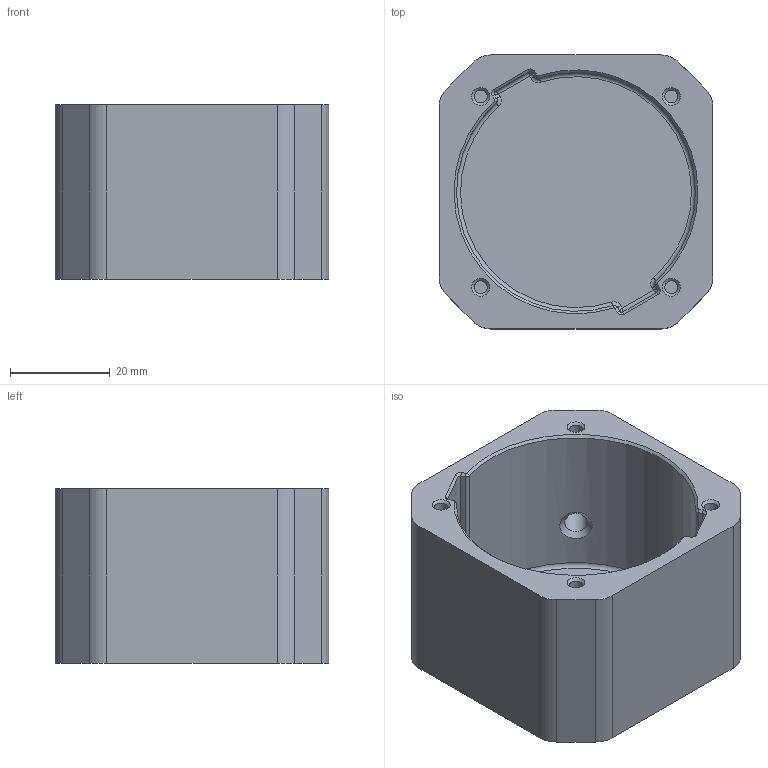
import cadquery as cq
import math

side = 55.0
height = 35.0
corner_flats = 66.0
edge_radius = 5.0

cavity_radius = 24.0
floor_thickness = 3.0
floor_fillet = 0.8
rim_chamfer = 0.5
keyway_angle = 120.0
keyway_reach = 25.6
keyway_width = 8.8
keyway_corner_radius = 0.5
keyway_mouth_radius = 0.8

screw_pitch = 38.3
screw_diameter = 2.6
screw_depth = 10.0
screw_chamfer = 0.5
screw_chamfer_angle = 90.0

cable_diameter = 4.5
cable_height = 13.0
cable_chamfer = 1.0
cable_angle = 45.0


def box_around(x, y, z, half_width, half_height):
    """Selector for edges whose centre lies in a small box around a point."""
    return cq.selectors.BoxSelector(
        (x - half_width, y - half_width, z - half_height),
        (x + half_width, y + half_width, z + half_height),
    )


def turn_about_z(solid, angle):
    return solid.rotate((0, 0, 0), (0, 0, 1), angle)


def make_block():
    """Square block with flattened corners and rounded upright edges."""
    corner_cut = side - corner_flats / math.sqrt(2)
    block = cq.Workplane("XY").rect(side, side).extrude(height)
    block = block.edges("|Z").chamfer(corner_cut)
    return block.edges("|Z").fillet(edge_radius)


def make_cavity():
    """Solid that fills the cavity: a bore with two keyways and a rounded floor edge."""
    depth = height - floor_thickness
    base = cq.Workplane("XY").workplane(offset=floor_thickness)
    bore = base.circle(cavity_radius).extrude(depth)
    keyways = base.rect(2 * keyway_reach, keyway_width).extrude(depth)
    keyways = keyways.edges("|Z").fillet(keyway_corner_radius)
    cavity = bore.union(keyways)

    mouth_y = keyway_width / 2
    mouth_x = math.sqrt(cavity_radius**2 - mouth_y**2)
    search_size = 0.1
    for x in (-mouth_x, mouth_x):
        for y in (-mouth_y, mouth_y):
            mouth_edge = box_around(x, y, height / 2, search_size, height / 2)
            cavity = cavity.edges(mouth_edge).fillet(keyway_mouth_radius)

    cavity = cavity.faces("<Z").edges().fillet(floor_fillet)
    return turn_about_z(cavity, keyway_angle)


def chamfer_rim(body):
    """Chamfer the cavity opening in the top face."""
    rim = body.faces(">Z").val().innerWires()[0]
    return body.newObject(rim.Edges()).chamfer(rim_chamfer)


def cut_screw_holes(body):
    """Cut four blind holes with chamfered mouths into the top face."""
    mouth_diameter = screw_diameter + 2 * screw_chamfer
    top = body.faces(">Z").workplane(origin=(0, 0, height))
    corners = top.rect(screw_pitch, screw_pitch, forConstruction=True).vertices()
    return corners.cskHole(screw_diameter, mouth_diameter, screw_chamfer_angle, screw_depth)


def cut_cable_hole(body):
    """Cut the cable hole outwards from the cavity axis and chamfer its edge on the cavity wall."""
    radius = cable_diameter / 2
    hole = cq.Workplane("YZ").center(0, cable_height).circle(radius).extrude(side)
    body = body.cut(turn_about_z(hole, cable_angle))

    wall_x = cavity_radius * math.cos(math.radians(cable_angle))
    wall_y = cavity_radius * math.sin(math.radians(cable_angle))
    search_size = 1.0
    wall_edge = box_around(wall_x, wall_y, cable_height, search_size, search_size)
    return body.edges(wall_edge).chamfer(cable_chamfer)


body = make_block().cut(make_cavity())
body = chamfer_rim(body)
body = cut_screw_holes(body)
result = cut_cable_hole(body)